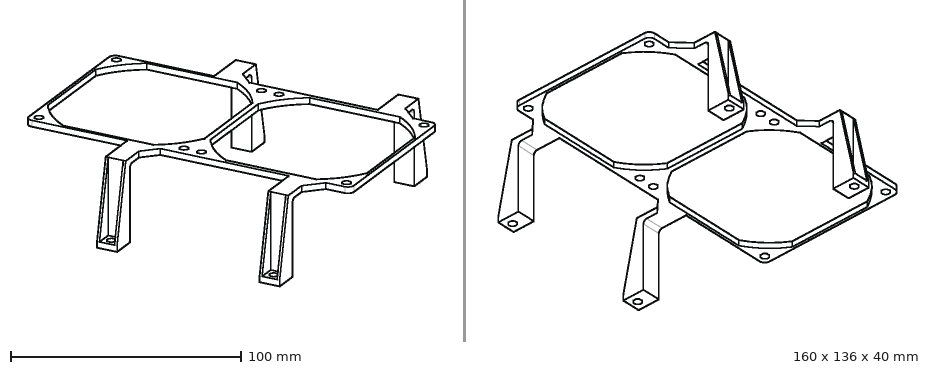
import cadquery as cq

length = 160.0
depth = 136.0
height = 40.0
thickness = 3.0

bay = length / 2
half_bay = bay / 2
corner_radius = 3.0
bay_centers = [(-half_bay, 0), (half_bay, 0)]
window_inset = 1.5
window = bay - 2 * window_inset
window_radius = 44.5
hole_diameter = 4.0
hole_inset = 4.3
hole_spacing = bay - 2 * hole_inset
rail_width = 1.0

arm_width = 10.0
first_arm_x = -25.0
arm_positions = [first_arm_x, first_arm_x + bay]
gusset_tip_y = 47.8
plate_overlap = 1.0
leg_inner_y = 56.0
leg_top_y = 60.0
foot_y = depth / 2
foot_hole_y = (leg_top_y + foot_y) / 2
inner_fillet = 2.0
leg_wall = 1.3
plate_bottom = height - thickness


def make_plate():
    blank = cq.Workplane("XY").workplane(offset=plate_bottom).rect(length, bay).extrude(thickness)
    return blank.edges("|Z").fillet(corner_radius)


def make_rail():
    """Strip on the +Y plate edge, from the first arm to the second."""
    start, end = arm_positions
    return (
        cq.Workplane("XY").workplane(offset=plate_bottom)
        .moveTo((start + end) / 2, half_bay + rail_width / 2)
        .rect(end - start, rail_width)
        .extrude(thickness)
    )


def make_arm(x, gusset_base_y):
    """Arm and hollow leg on the +Y side, with a gusset ending at gusset_base_y."""
    profile = [
        (half_bay - plate_overlap, height),
        (leg_top_y, height),
        (foot_y, thickness),
        (foot_y, 0),
        (leg_inner_y, 0),
        (leg_inner_y, plate_bottom),
        (half_bay - plate_overlap, plate_bottom),
    ]
    arm = cq.Workplane("YZ").polyline(profile).close().extrude(arm_width / 2, both=True)
    inner_corner = cq.selectors.NearestToPointSelector((0, leg_inner_y, plate_bottom))
    arm = arm.edges(inner_corner).fillet(inner_fillet)

    pocket = cq.Workplane("XY").box(
        arm_width - 2 * leg_wall, foot_y - leg_top_y, height - thickness, centered=(True, False, False)
    ).translate((0, leg_top_y, thickness))
    foot_hole = cq.Workplane("XY").center(0, foot_hole_y).circle(hole_diameter / 2).extrude(height)
    arm = arm.cut(pocket).cut(foot_hole)

    edge_x = arm_width / 2
    gusset_size = gusset_tip_y - gusset_base_y
    brace = (
        cq.Workplane("XY").workplane(offset=plate_bottom)
        .polyline([
            (0, gusset_base_y),
            (edge_x + gusset_size, gusset_base_y),
            (edge_x, gusset_tip_y),
            (0, gusset_tip_y),
        ])
        .close()
        .extrude(thickness)
    )
    return arm.union(brace).translate((x, 0, 0))


def make_window(center):
    """Square opening whose corners are rounded by a larger concentric circle."""
    square = cq.Workplane("XY").rect(window, window).extrude(height)
    disc = cq.Workplane("XY").circle(window_radius).extrude(height)
    return square.intersect(disc).translate((*center, 0))


def make_fan_holes(center):
    return (
        cq.Workplane("XY").center(*center)
        .rect(hole_spacing, hole_spacing, forConstruction=True).vertices()
        .circle(hole_diameter / 2)
        .extrude(height)
    )


gusset_bases = [half_bay + rail_width, half_bay]
side = make_rail()
for arm_x, base_y in zip(arm_positions, gusset_bases):
    side = side.union(make_arm(arm_x, base_y))

result = make_plate().union(side).union(side.mirror("XZ"))
for bay_center in bay_centers:
    result = result.cut(make_window(bay_center)).cut(make_fan_holes(bay_center))